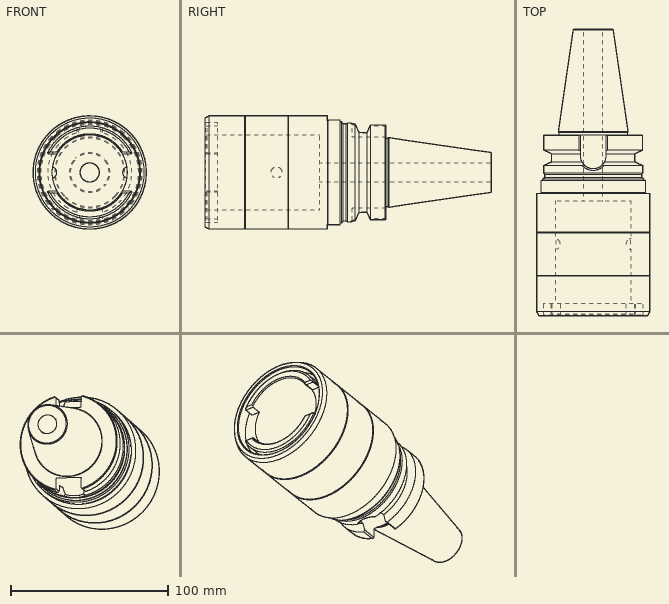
import cadquery as cq
import math

TOTAL_LENGTH = 182.5
REAR_Y = TOTAL_LENGTH / 2
FRONT_Y = -TOTAL_LENGTH / 2

SHANK_LENGTH = 65.3
GAUGE_RADIUS = 22.3
TAPER_ON_RADIUS = 7 / 48
SHANK_EDGE = 0.5
SHANK_NECK_RADIUS = 21.9
GAUGE_Y = REAR_Y - SHANK_LENGTH
SHANK_TIP_RADIUS = GAUGE_RADIUS - SHANK_LENGTH * TAPER_ON_RADIUS

FLANGE_RADIUS = 31.5
FLANGE_EDGE = 0.5
FLANGE_REAR_Y = 23.9
FLANGE_FRONT_Y = -0.4
GROOVE_FLOOR_RADIUS = 26.6
GROOVE_REAR_Y = 14.2
GROOVE_FRONT_Y = 4.4
GROOVE_FLANK = 2.4

RELIEF_RADIUS = 31.0
RELIEF_FRONT_Y = -3.3
RELIEF_EDGE = 1.0
COLLAR_RADIUS = 33.4
COLLAR_REAR_Y = -5.1
COLLAR_LIP_RADIUS = 32.3
UNDERCUT_RADIUS = 32.8
UNDERCUT_LENGTH = 0.5

BODY_RADIUS = 36.1
BODY_REAR_Y = -13.3
BODY_CHAMFER_LENGTH = 2.7
BODY_CHAMFER_HEIGHT = 1.5
JOINT_YS = (-38.1, -65.7)
JOINT_WIDTH = 0.5
JOINT_DEPTH = 0.2

HOLE_RADIUS = 6.0
BORE_RADIUS = 23.9
BORE_DEPTH = 73.0
RECESS_RADIUS = 31.8
RECESS_DEPTH = 8.0
RECESS_CHAMFER = 0.5

DOG_RADIUS = 29.5
DOG_HALF_GAP = 11.9
DOG_CORNER_CHAMFER = 0.7
DOG_CHAMFER = 1.3
DOG_BORE_CHAMFER = 0.7

BALL_RADIUS = 3.6
BALL_CENTRE_RADIUS = 24.6
BALL_DEPTH = 45.6

SLOT_WIDTH = 16.2
SLOT_FLOOR_Z = 22.6
SLOT_END_Y = 2.4
SLOT_FLOOR_FILLET = 0.7
SLOT_RIM_CHAMFER = 1.1

CUT_CLEARANCE = 1.8
EDGE_TOLERANCE = 0.02


def revolve(points):
    """Turn a closed (radius, y) outline about the Y axis."""
    return cq.Workplane("XY").polyline(points).close().revolve(360, (0, 0, 0), (0, 1, 0))


def disc(radius, y_front, length):
    """Cylinder on the Y axis running from y_front towards +Y."""
    return cq.Workplane("XZ", origin=(0, y_front, 0)).circle(radius).extrude(-length)


def turned_blank():
    """Solid of revolution with the whole outer profile, from shank tip to front face."""
    return revolve([
        (0, REAR_Y),
        (SHANK_TIP_RADIUS - SHANK_EDGE, REAR_Y),
        (SHANK_TIP_RADIUS + SHANK_EDGE * TAPER_ON_RADIUS, REAR_Y - SHANK_EDGE),
        (GAUGE_RADIUS, GAUGE_Y),
        (SHANK_NECK_RADIUS, GAUGE_Y - SHANK_EDGE),
        (SHANK_NECK_RADIUS, FLANGE_REAR_Y),
        (FLANGE_RADIUS - FLANGE_EDGE, FLANGE_REAR_Y),
        (FLANGE_RADIUS, FLANGE_REAR_Y - FLANGE_EDGE),
        (FLANGE_RADIUS, GROOVE_REAR_Y),
        (GROOVE_FLOOR_RADIUS, GROOVE_REAR_Y - GROOVE_FLANK),
        (GROOVE_FLOOR_RADIUS, GROOVE_FRONT_Y + GROOVE_FLANK),
        (FLANGE_RADIUS, GROOVE_FRONT_Y),
        (FLANGE_RADIUS, FLANGE_FRONT_Y),
        (RELIEF_RADIUS, FLANGE_FRONT_Y - RELIEF_EDGE),
        (RELIEF_RADIUS, RELIEF_FRONT_Y),
        (COLLAR_LIP_RADIUS, RELIEF_FRONT_Y - RELIEF_EDGE),
        (COLLAR_LIP_RADIUS, COLLAR_REAR_Y),
        (COLLAR_RADIUS, COLLAR_REAR_Y),
        (COLLAR_RADIUS, BODY_REAR_Y + UNDERCUT_LENGTH),
        (UNDERCUT_RADIUS, BODY_REAR_Y + UNDERCUT_LENGTH),
        (UNDERCUT_RADIUS, BODY_REAR_Y),
        (BODY_RADIUS, BODY_REAR_Y),
        (BODY_RADIUS, FRONT_Y + BODY_CHAMFER_LENGTH),
        (BODY_RADIUS - BODY_CHAMFER_HEIGHT, FRONT_Y),
        (0, FRONT_Y),
    ])


def drive_slot():
    """Cutter for the slot on the +Z side: open to the rear, round at the front."""
    half = SLOT_WIDTH / 2
    arc_y = SLOT_END_Y + half
    return (
        cq.Workplane("XY", origin=(0, 0, SLOT_FLOOR_Z))
        .moveTo(-half, GAUGE_Y)
        .lineTo(-half, arc_y)
        .threePointArc((0, SLOT_END_Y), (half, arc_y))
        .lineTo(half, GAUGE_Y)
        .close()
        .extrude(FLANGE_RADIUS - SLOT_FLOOR_Z + CUT_CLEARANCE)
        .faces("<Z").edges("not >Y").fillet(SLOT_FLOOR_FILLET)
    )


def slot_rim_edges(body):
    """Edges where the slot walls meet the outside of the flange, on both rims of the V-groove."""
    def is_rim(edge):
        points = [edge.positionAt(t) for t in (0, 0.5, 1)]
        on_flange = all(abs(math.hypot(p.x, p.z) - FLANGE_RADIUS) < EDGE_TOLERANCE for p in points)
        within_slot = all(abs(p.x) < SLOT_WIDTH / 2 + EDGE_TOLERANCE for p in points)
        return on_flange and within_slot

    return [edge for edge in body.edges().vals() if is_rim(edge)]


def joint_groove(y):
    """Hairline ring cutter marking the joint between two body sections."""
    ring = disc(BODY_RADIUS + CUT_CLEARANCE, y - JOINT_WIDTH / 2, JOINT_WIDTH)
    return ring.cut(disc(BODY_RADIUS - JOINT_DEPTH, y - JOINT_WIDTH / 2, JOINT_WIDTH))


def recess():
    """Cutter for the shallow round recess in the front face, chamfered at its rim."""
    return revolve([
        (0, FRONT_Y),
        (RECESS_RADIUS + RECESS_CHAMFER, FRONT_Y),
        (RECESS_RADIUS, FRONT_Y + RECESS_CHAMFER),
        (RECESS_RADIUS, FRONT_Y + RECESS_DEPTH),
        (0, FRONT_Y + RECESS_DEPTH),
    ])


def drive_dog():
    """Dog on the +Z side, chamfered around its front face."""
    half_span = math.sqrt(DOG_RADIUS**2 - DOG_HALF_GAP**2)
    segment = (
        cq.Workplane("XY")
        .box(2 * half_span, RECESS_DEPTH, DOG_RADIUS, centered=(True, False, False))
        .edges("|Y and <Z").chamfer(DOG_CORNER_CHAMFER)
        .faces("<Z").edges("<Y").chamfer(DOG_CHAMFER)
        .translate((0, FRONT_Y, DOG_HALF_GAP))
    )
    ring = disc(DOG_RADIUS, FRONT_Y, RECESS_DEPTH).faces("<Y").chamfer(DOG_CHAMFER)
    dog = ring.intersect(segment)
    floor_y = FRONT_Y + RECESS_DEPTH
    bore = revolve([
        (0, FRONT_Y),
        (BORE_RADIUS + DOG_BORE_CHAMFER, FRONT_Y),
        (BORE_RADIUS, FRONT_Y + DOG_BORE_CHAMFER),
        (BORE_RADIUS, floor_y),
        (0, floor_y),
    ])
    return dog.cut(bore)


def both_sides(shape):
    """The shape and its copy turned half a turn about the Y axis."""
    return [shape, shape.rotate((0, 0, 0), (0, 1, 0), 180)]


result = turned_blank()
for slot in both_sides(drive_slot()):
    result = result.cut(slot)
result = result.newObject(slot_rim_edges(result)).chamfer(SLOT_RIM_CHAMFER)

for joint_y in JOINT_YS:
    result = result.cut(joint_groove(joint_y))

result = result.cut(disc(HOLE_RADIUS, FRONT_Y, TOTAL_LENGTH))
result = result.cut(disc(BORE_RADIUS, FRONT_Y, BORE_DEPTH))
result = result.cut(recess())

for dog in both_sides(drive_dog()):
    result = result.union(dog)

ball = cq.Workplane("XY").sphere(BALL_RADIUS).translate((BALL_CENTRE_RADIUS, FRONT_Y + BALL_DEPTH, 0))
for side_ball in both_sides(ball):
    result = result.union(side_ball)